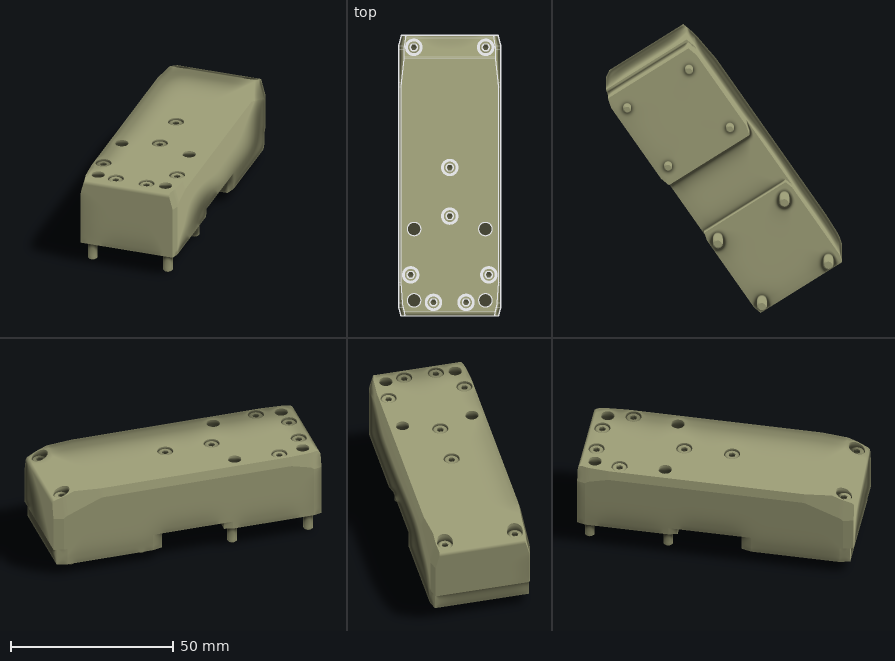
import cadquery as cq
import math

width = 31.5
length = 86.5
rear_y = length / 2
front_y = -length / 2
half_width = width / 2

mid_depth = 19.5
front_foot_depth = 22.0
rear_foot_depth = 25.0

rear_foot_rear_y = rear_y - 1.0
rear_foot_front_y = 8.1
front_foot_rear_y = -11.8

taper = math.tan(math.radians(15))
rear_corner = 3.1
front_corner = 2.6
foot_corner = 3.2
front_foot_corner = 2.7

side_taper_depth = 2.85
rear_bend_from_end = 15.3
rear_bend_slope = math.tan(math.radians(22.5))
rear_corner_bend_from_end = 3.8
front_bend_from_end = 9.95
front_bend_slope = math.tan(math.radians(15))
front_corner_bend_from_end = 3.3
rear_bend_radius = 12.45
front_bend_radius = 11.0
corner_bend_radius = 7.35

slope_run = 6.9
slope_drop = slope_run * math.tan(math.radians(22.5))
end_edge_radius = 1.5
slope_edge_radius = 1.0

bore_diameter = 5.0
head_diameter = 4.5
head_chamfer = 0.3
head_height = 2.5
head_recess = 0.4
socket_width = 2.0
socket_depth = 1.3
socket_drill_angle = math.radians(30)
top_screws = [(0, 2.5), (0, -12.45), (-12.0, -30.5), (12.0, -30.5), (-5.0, -39.0), (5.0, -39.0)]
rear_screw_x = 11.1
rear_screw_y = 39.5
rear_screw_head_depth = 2.6

hole_diameter = 4.15
hole_depth = 8.65
hole_spacing = 22.0
holes_y = -27.4

front_pin_diameter = 3.0
front_pin_spacing = 24.6
front_pins_y = -27.5
front_pin_depth = 28.5
rear_pin_diameter = 2.5
rear_pin_spacing = 22.8
rear_pins_y = 25.3
rear_pin_depth = 27.5
pin_chamfer = 0.35


def cornered_block(y_rear, y_front, rear_cut, front_cut, z_low, z_high):
    """Full-width block whose four upright corners are cut back along Y by the given lengths."""
    outline = [
        (half_width - taper * front_cut, y_front),
        (half_width, y_front + front_cut),
        (half_width, y_rear - rear_cut),
        (half_width - taper * rear_cut, y_rear),
    ]
    mirrored = [(-x, y) for x, y in reversed(outline)]
    base = cq.Workplane("XY").workplane(offset=z_low)
    return base.polyline(outline + mirrored).close().extrude(z_high - z_low)


def end_profile():
    """Side profile along Y of the upper housing, with rounded top edges."""
    outline = [
        (front_y, -mid_depth),
        (front_y, 0),
        (rear_y - slope_run, 0),
        (rear_y, -slope_drop),
        (rear_y, -mid_depth),
    ]
    prism = cq.Workplane("YZ").polyline(outline).close().extrude(half_width, both=True)
    ridge = cq.selectors.NearestToPointSelector((0, rear_y - slope_run, 0))
    prism = prism.edges(ridge).fillet(slope_edge_radius)
    front_edge = cq.selectors.NearestToPointSelector((0, front_y, 0))
    rear_edge = cq.selectors.NearestToPointSelector((0, rear_y, -slope_drop))
    return prism.edges(front_edge).fillet(end_edge_radius).edges(rear_edge).fillet(end_edge_radius)


def side_taper():
    """Solid under the leaning right side, whose slope steepens towards both ends."""
    rear_bend_y = rear_y - rear_bend_from_end
    front_bend_y = front_y + front_bend_from_end
    rear_corner_y = rear_y - rear_corner_bend_from_end
    front_corner_y = front_y + front_corner_bend_from_end
    rear_corner_depth = side_taper_depth + rear_bend_slope * (rear_corner_y - rear_bend_y)
    front_corner_depth = side_taper_depth + front_bend_slope * (front_bend_y - front_corner_y)
    overrun = 2 * max(rear_corner_bend_from_end, front_corner_bend_from_end)
    lower_edge = [
        (front_corner_y - overrun, front_corner_depth + overrun),
        (front_corner_y, front_corner_depth),
        (front_bend_y, side_taper_depth),
        (rear_bend_y, side_taper_depth),
        (rear_corner_y, rear_corner_depth),
        (rear_corner_y + overrun, rear_corner_depth + overrun),
    ]
    radii = [corner_bend_radius, front_bend_radius, rear_bend_radius, corner_bend_radius]
    top_points = [(half_width - taper * depth, y) for y, depth in lower_edge]
    outline = [(-width, lower_edge[0][0])] + top_points + [(-width, lower_edge[-1][0])]
    wire = cq.Wire.makePolygon([cq.Vector(x, y, 0) for x, y in outline], close=True)
    for (x, y), radius in zip(top_points[1:-1], radii):
        bend = min(wire.Vertices(), key=lambda vertex: math.hypot(vertex.X - x, vertex.Y - y))
        wire = wire.fillet2D(radius, [bend])
    lean = cq.Vector(taper * mid_depth, 0, -mid_depth)
    return cq.Workplane(cq.Solid.extrudeLinear(wire, [], lean))


def pin(x, y, diameter, z_low, z_high):
    """Upright pin with a chamfered lower end."""
    shape = cq.Workplane("XY").workplane(offset=z_low).circle(diameter / 2).extrude(z_high - z_low)
    return shape.faces("<Z").chamfer(pin_chamfer).translate((x, y, 0))


def sink_screw(body, x, y, head_z):
    """Bore the body and stand a hexagon-socket cap head in the bore, its top at head_z."""
    floor_z = head_z - head_height
    at_floor = cq.Workplane("XY").workplane(offset=floor_z).center(x, y)
    bore = at_floor.circle(bore_diameter / 2).extrude(-floor_z)
    head = at_floor.circle(head_diameter / 2).extrude(head_z - floor_z).faces(">Z").chamfer(head_chamfer)
    corner_diameter = socket_width / math.cos(math.pi / 6)
    at_head = cq.Workplane("XY").workplane(offset=head_z).center(x, y)
    socket = at_head.polygon(6, corner_diameter).extrude(-socket_depth)
    tip_height = corner_diameter / 2 * math.tan(socket_drill_angle)
    socket_floor = cq.Vector(x, y, head_z - socket_depth)
    tip = cq.Solid.makeCone(corner_diameter / 2, 0, tip_height, pnt=socket_floor, dir=cq.Vector(0, 0, -1))
    return body.cut(bore).union(head.cut(socket).cut(cq.Workplane(tip)))


taper_right = side_taper()
housing = cornered_block(rear_y, front_y, rear_corner, front_corner, -mid_depth, 0)
housing = housing.intersect(end_profile())
housing = housing.intersect(taper_right).intersect(taper_right.mirror("YZ"))

rear_foot = cornered_block(
    rear_foot_rear_y, rear_foot_front_y, foot_corner, foot_corner, -rear_foot_depth, -mid_depth
)
front_foot = cornered_block(
    front_foot_rear_y, front_y, front_foot_corner, front_corner, -front_foot_depth, -mid_depth
)
body = housing.union(rear_foot).union(front_foot)

hole_centres = cq.Workplane("XY").center(0, holes_y).rect(hole_spacing, hole_spacing, forConstruction=True)
body = body.cut(hole_centres.vertices().circle(hole_diameter / 2).extrude(-hole_depth))

for x, y in top_screws:
    body = sink_screw(body, x, y, -head_recess)
for x in (-rear_screw_x, rear_screw_x):
    body = sink_screw(body, x, rear_screw_y, -rear_screw_head_depth)

for side in (-0.5, 0.5):
    front_pin_x = side * front_pin_spacing
    rear_pin_x = side * rear_pin_spacing
    for end in (-0.5, 0.5):
        front_pin_y = front_pins_y + end * front_pin_spacing
        rear_pin_y = rear_pins_y + end * rear_pin_spacing
        front_pin = pin(front_pin_x, front_pin_y, front_pin_diameter, -front_pin_depth, -front_foot_depth)
        rear_pin = pin(rear_pin_x, rear_pin_y, rear_pin_diameter, -rear_pin_depth, -rear_foot_depth)
        body = body.union(front_pin).union(rear_pin)

result = body